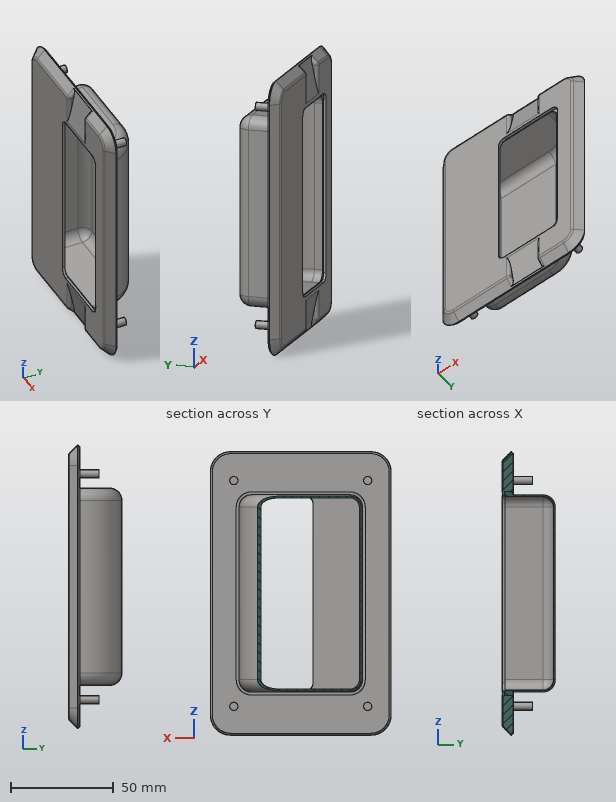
import cadquery as cq
import math


PLATE_WIDTH = 88.0
PLATE_HEIGHT = 138.0
PLATE_THICKNESS = 5.5
PLATE_CORNER_RADIUS = 10.0
FRONT_BEVEL = 4.4
BACK_BEVEL = 1.0
BEVEL_BLEND_RADIUS = 1.8

WINDOW_LEFT = -6.0
WINDOW_RIGHT = 30.6
WINDOW_HEIGHT = 95.0
WINDOW_CORNER_RADIUS = 4.0

NOTCH_WIDTH = 20.5
NOTCH_CENTER_X = 9.2
NOTCH_START_Z = 49.5
NOTCH_END_DEPTH = 3.9
NOTCH_LIP_RADIUS = 1.8
NOTCH_SLOT_RUN_IN = 1.4

OVERALL_DEPTH = 26.0
CUP_WIDTH = 60.0
CUP_HEIGHT = 96.0
CUP_BEND_RADIUS = OVERALL_DEPTH - PLATE_THICKNESS
CUP_EDGE_RADIUS = 6.1
CUP_WALL = 1.0

RIM_FRONT_Y = 1.4
RIM_MARGIN = 1.4
RIM_WIDTH = CUP_WIDTH + 2 * RIM_MARGIN
RIM_HEIGHT = CUP_HEIGHT + 2 * RIM_MARGIN
RIM_CORNER_RADIUS = CUP_EDGE_RADIUS + RIM_MARGIN

PIN_DIAMETER = 4.0
PIN_LENGTH = 9.4
PIN_OFFSET_X = 32.5
PIN_OFFSET_Z = 54.9


def rounded_block(left, right, height, corner_radius, front, back):
    """Block between two depths, with its corners rounded around the Y axis."""
    return (
        cq.Workplane("XY")
        .box(right - left, back - front, height, centered=(True, False, True))
        .edges("|Y")
        .fillet(corner_radius)
        .translate(((left + right) / 2, front, 0))
    )


def rim_block():
    return rounded_block(
        -RIM_WIDTH / 2, RIM_WIDTH / 2, RIM_HEIGHT, RIM_CORNER_RADIUS, RIM_FRONT_Y, PLATE_THICKNESS
    )


def cup_form(inset):
    """Solid cup shape from the rim's front backwards, its walls moved inwards by the inset."""
    side = CUP_WIDTH / 2 - inset
    back = OVERALL_DEPTH - inset
    height = CUP_HEIGHT - 2 * inset
    bend_radius = CUP_BEND_RADIUS - inset
    bend_x = side - bend_radius
    bend_y = back - bend_radius
    bend_middle = bend_radius * math.sqrt(0.5)
    form = (
        cq.Workplane("XY", origin=(0, 0, -height / 2))
        .moveTo(-side, RIM_FRONT_Y)
        .lineTo(side, RIM_FRONT_Y)
        .lineTo(side, bend_y)
        .threePointArc((bend_x + bend_middle, bend_y + bend_middle), (bend_x, back))
        .lineTo(-side, back)
        .close()
        .extrude(height)
    )
    edges_behind_front = form.faces("<X or >Z or <Z").edges("not <Y")
    return edges_behind_front.fillet(CUP_EDGE_RADIUS - inset)


def make_cup():
    return cup_form(0).union(rim_block()).cut(cup_form(CUP_WALL))


def plate_blank():
    """Plate with bevelled edges, before any opening is cut."""
    blank = rounded_block(
        -PLATE_WIDTH / 2, PLATE_WIDTH / 2, PLATE_HEIGHT, PLATE_CORNER_RADIUS, 0, PLATE_THICKNESS
    )
    blank = blank.faces("<Y").chamfer(FRONT_BEVEL)
    blank = blank.faces(">Y").chamfer(BACK_BEVEL)
    return blank.faces("<Y").edges().fillet(BEVEL_BLEND_RADIUS)


def slot_with_rounded_lips(blank):
    """Blank with an upright slot in its top edge, rounded where it meets the front."""
    slot_width = NOTCH_WIDTH - 2 * NOTCH_LIP_RADIUS
    slot_start = NOTCH_START_Z - NOTCH_SLOT_RUN_IN
    slot = (
        cq.Workplane("XY")
        .box(slot_width, PLATE_THICKNESS, PLATE_HEIGHT / 2, centered=(True, False, False))
        .translate((NOTCH_CENTER_X, 0, slot_start))
    )
    slotted = blank.cut(slot)
    front_lips = slotted.faces("<Y").edges("|Z").edges(
        cq.selectors.BoxSelector(
            (NOTCH_CENTER_X - NOTCH_WIDTH / 2, -1.4, slot_start),
            (NOTCH_CENTER_X + NOTCH_WIDTH / 2, 1.4, PLATE_HEIGHT / 2),
        )
    )
    return front_lips.fillet(NOTCH_LIP_RADIUS)


def notch_floor(blank):
    """The part of the blank below the sloping floor, across the width of the notch."""
    below_floor = (
        cq.Workplane("YZ", origin=(NOTCH_CENTER_X - NOTCH_WIDTH / 2, 0, 0))
        .moveTo(0, 0)
        .lineTo(0, NOTCH_START_Z)
        .lineTo(NOTCH_END_DEPTH, PLATE_HEIGHT / 2)
        .lineTo(PLATE_THICKNESS, PLATE_HEIGHT / 2)
        .lineTo(PLATE_THICKNESS, 0)
        .close()
        .extrude(NOTCH_WIDTH)
    )
    return blank.intersect(below_floor)


def make_plate():
    blank = plate_blank()
    notched = slot_with_rounded_lips(blank).union(notch_floor(blank))
    upper_half = notched.intersect(
        cq.Workplane("XY").box(
            PLATE_WIDTH, 2 * PLATE_THICKNESS, PLATE_HEIGHT / 2, centered=(True, True, False)
        )
    )
    plate = upper_half.union(upper_half.mirror("XY")).clean()

    window = rounded_block(
        WINDOW_LEFT, WINDOW_RIGHT, WINDOW_HEIGHT, WINDOW_CORNER_RADIUS, 0, PLATE_THICKNESS
    )
    return plate.cut(window).cut(rim_block())


def make_pin(x, z):
    return (
        cq.Workplane("XZ", origin=(x, PLATE_THICKNESS, z))
        .circle(PIN_DIAMETER / 2)
        .extrude(-PIN_LENGTH)
    )


plate = make_plate()
cup = make_cup()
pins = [
    make_pin(x, z)
    for x in (-PIN_OFFSET_X, PIN_OFFSET_X)
    for z in (-PIN_OFFSET_Z, PIN_OFFSET_Z)
]

result = cq.Compound.makeCompound([plate.val(), cup.val(), *[pin.val() for pin in pins]])